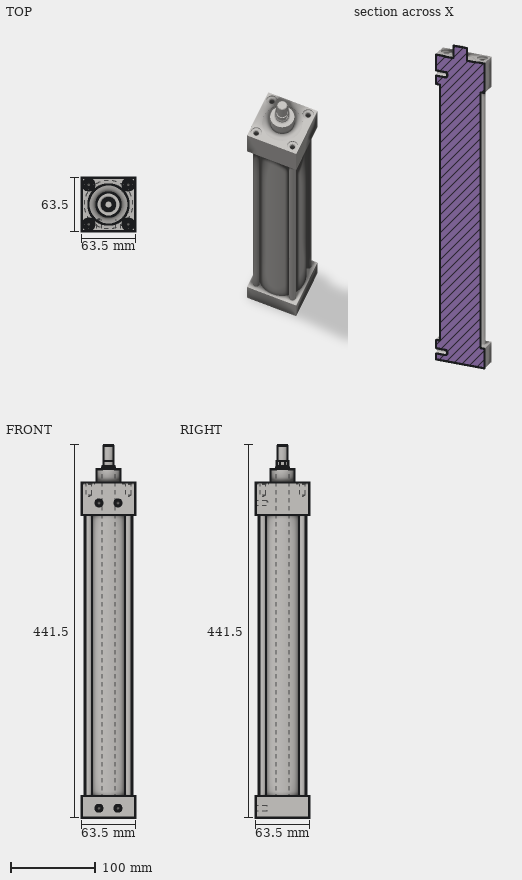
import cadquery as cq
import math

total_length = 441.5
cap_width = 63.5
base_height = 26.0
head_height = 39.0
head_top = 397.0
head_bottom = head_top - head_height

tube_diameter = 57.5
tie_rod_diameter = 8.0
tie_rod_spacing = 47.0
neck_diameter = 28.5
neck_height = 16.0
neck_top = head_top + neck_height

drill_point_angle = 118.0
hole_mouth_diameter = 8.0
hole_diameter = 6.0
hole_depth = 13.2
corner_recess_diameter = 13.2
corner_recess_depth = 1.8
port_spacing = 22.5
base_port_height = 11.5
head_port_rise = 14.5
head_port_height = head_bottom + head_port_rise

seat_diameter = 47.5
seat_depth = 0.5

rod_bottom = base_height
rod_diameter = 15.5
rod_cone_bottom = 414.5
wrench_diameter = 13.5
wrench_bottom = 416.5
wrench_top = 422.5
flat_width = 12.5
tip_diameter = 12.0
tip_chamfer = 1.0

corners = [
    (x_sign * tie_rod_spacing / 2, y_sign * tie_rod_spacing / 2)
    for x_sign in (-1, 1)
    for y_sign in (-1, 1)
]


def cylinder(diameter, bottom, top):
    return cq.Workplane("XY").workplane(offset=bottom).circle(diameter / 2).extrude(top - bottom)


def end_cap(bottom, height):
    return cq.Workplane("XY").workplane(offset=bottom).rect(cap_width, cap_width).extrude(height)


def blind_hole():
    """Cutter entering at the origin along -Z, with a 45 degree countersink and a drill point."""
    mouth_radius = hole_mouth_diameter / 2
    radius = hole_diameter / 2
    countersink_depth = mouth_radius - radius
    point_depth = hole_depth + radius / math.tan(math.radians(drill_point_angle / 2))
    profile = [
        (0, 0),
        (mouth_radius, 0),
        (radius, -countersink_depth),
        (radius, -hole_depth),
        (0, -point_depth),
    ]
    return cq.Workplane("XZ").polyline(profile).close().revolve(360, (0, 0, 0), (0, 1, 0))


def make_blank():
    """End caps joined by the barrel and the four tie rods."""
    blank = end_cap(0, base_height).union(end_cap(head_bottom, head_height))
    blank = blank.union(cylinder(tube_diameter, base_height, head_bottom))
    tie_rod = cylinder(tie_rod_diameter, base_height, head_bottom)
    for x, y in corners:
        blank = blank.union(tie_rod.translate((x, y, 0)))
    return blank


def add_neck(housing):
    """Shallow round seat in the head with the rod neck rising from its floor."""
    seat_floor = head_top - seat_depth
    housing = housing.cut(cylinder(seat_diameter, seat_floor, head_top))
    return housing.union(cylinder(neck_diameter, seat_floor, neck_top))


def cut_corner_holes(housing):
    """Recessed blind holes in the head, in line with the tie rods."""
    recess_floor = head_top - corner_recess_depth
    recess = cylinder(corner_recess_diameter, recess_floor, head_top)
    hole = blind_hole().translate((0, 0, recess_floor))
    for x, y in corners:
        housing = housing.cut(recess.translate((x, y, 0)))
        housing = housing.cut(hole.translate((x, y, 0)))
    return housing


def cut_port_holes(housing):
    """Two blind holes in the -Y face of each end cap."""
    hole = blind_hole().rotate((0, 0, 0), (1, 0, 0), 90)
    for height in (base_port_height, head_port_height):
        for x in (-port_spacing / 2, port_spacing / 2):
            housing = housing.cut(hole.translate((x, -cap_width / 2, height)))
    return housing


def make_housing():
    housing = add_neck(make_blank())
    housing = cut_corner_holes(housing)
    housing = cut_port_holes(housing)
    rod_bore = cylinder(rod_diameter, rod_bottom, neck_top)
    return housing.cut(rod_bore)


def make_piston_rod():
    """Plain rod, cone, wrench section with two flats, and chamfered tip."""
    profile = [
        (0, rod_bottom),
        (rod_diameter / 2, rod_bottom),
        (rod_diameter / 2, rod_cone_bottom),
        (wrench_diameter / 2, wrench_bottom),
        (wrench_diameter / 2, wrench_top),
        (tip_diameter / 2, wrench_top),
        (tip_diameter / 2, total_length - tip_chamfer),
        (tip_diameter / 2 - tip_chamfer, total_length),
        (0, total_length),
    ]
    rod = cq.Workplane("XZ").polyline(profile).close().revolve(360, (0, 0, 0), (0, 1, 0))
    for side in (-1, 1):
        flat = cq.Workplane("XY").box(rod_diameter, rod_diameter, wrench_top - wrench_bottom)
        x = side * (flat_width + rod_diameter) / 2
        rod = rod.cut(flat.translate((x, 0, (wrench_top + wrench_bottom) / 2)))
    return rod


housing = make_housing()
piston_rod = make_piston_rod()

result = cq.Compound.makeCompound([housing.val(), piston_rod.val()])